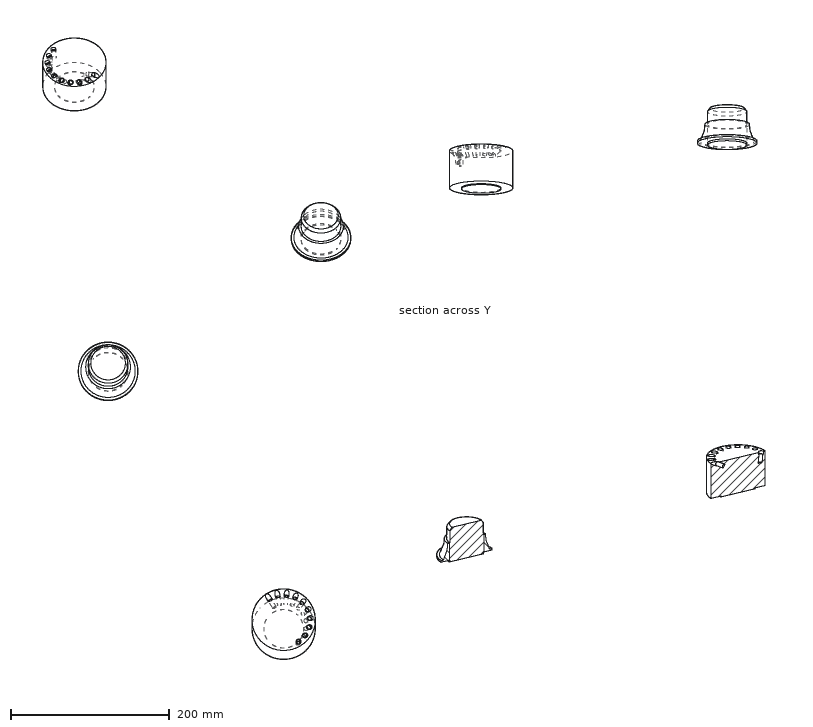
import cadquery as cq

core_radius = 25.0

drum_radius = 40.0
drum_foot_height = 1.2
drum_height = 48.0
drum_top = drum_foot_height + drum_height

hole_count = 10
hole_ring_radius = 34.0
first_hole_angle = 180.0
hole_angle_step = 180.0 / (hole_count - 1)
mouth_radius = 3.05
mouth_depth = 3.8
hole_radius = 2.5
hole_depth = 15.0
tilt_step = 6.0
cutter_overrun = 10.0

bell_center_x = 400.0
flange_radius = 37.7
flange_bottom = 2.4
flange_thickness = 2.8
flange_top = flange_bottom + flange_thickness
skirt_bottom_radius = 34.2
skirt_top_radius = 29.0
skirt_height = 13.0
collar_bottom = flange_top + skirt_height
collar_top_radius = 28.2
collar_height = 8.6
collar_top = collar_bottom + collar_height

core_height = 47.4
core_bevel_width = 3.2
core_bevel_height = 4.2


def hole_cutter(index):
    """Stepped drill on the hole ring, leaning further outward with each hole."""
    tilt = tilt_step * (index + 1)
    angle = first_hole_angle + index * hole_angle_step
    bore = cq.Workplane("XY").workplane(offset=-hole_depth).circle(hole_radius).extrude(hole_depth)
    mouth_length = mouth_depth + cutter_overrun
    mouth = cq.Workplane("XY").workplane(offset=-mouth_depth).circle(mouth_radius).extrude(mouth_length)
    return (
        bore.union(mouth)
        .rotate((0, 0, 0), (0, 1, 0), tilt)
        .translate((hole_ring_radius, 0, drum_top))
        .rotate((0, 0, 0), (0, 0, 1), angle)
    )


def build_drum():
    foot = cq.Workplane("XY").circle(core_radius).extrude(drum_foot_height)
    drum = foot.faces(">Z").workplane().circle(drum_radius).extrude(drum_height)
    for index in range(hole_count):
        drum = drum.cut(hole_cutter(index))
    return drum


def build_bell():
    half_profile = [
        (core_radius, flange_bottom),
        (flange_radius, flange_bottom),
        (flange_radius, flange_top),
        (skirt_bottom_radius, flange_top),
        (skirt_top_radius, collar_bottom),
        (collar_top_radius, collar_top),
        (core_radius, collar_top),
    ]
    bell = cq.Workplane("XZ").polyline(half_profile).close().revolve(360, (0, 0), (0, 1))
    return bell.translate((bell_center_x, 0, 0))


def build_core():
    core = cq.Workplane("XY").circle(core_radius).extrude(core_height)
    core = core.faces(">Z").chamfer(core_bevel_height, core_bevel_width)
    return core.translate((bell_center_x, 0, 0))


drum = build_drum()
bell = build_bell()
core = build_core()

result = cq.Compound.makeCompound([drum.val(), bell.val(), core.val()])